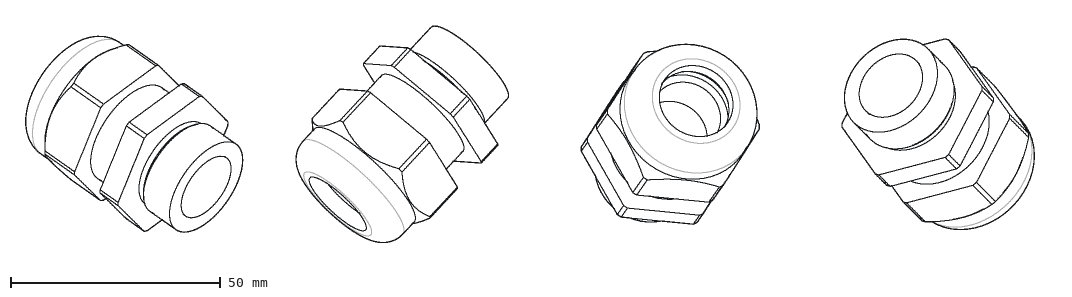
import cadquery as cq
import math

total_length = 47.5

hex_across_flats = 33.0
hex_across_corners = 37.5

dome_diameter = 32.6
dome_radius = 5.45
cap_hex_start = 9.55
cap_end = 21.95
cap_bore_diameter = 18.2
cap_bore_depth = 3.9

sleeve_start = 6.95
sleeve_diameter = 22.4
collar_diameter = 26.55
body_hex_start = 30.5
body_hex_end = 36.5
neck_diameter = 23.3
thread_start = 38.05
thread_diameter = 25.0
thread_chamfer = 0.75

seal_start = 9.35
seal_end = cap_end
seal_diameter = 20.7
clear_bore_diameter = 17.0


def cylinder(diameter, start, end):
    """Solid round bar along X between two stations."""
    return cq.Workplane("YZ", origin=(start, 0, 0)).circle(diameter / 2).extrude(end - start)


def cone(start_diameter, end_diameter, start, end):
    """Solid truncated cone along X between two stations."""
    outline = [(start, 0), (start, start_diameter / 2), (end, end_diameter / 2), (end, 0)]
    return cq.Workplane("XY").polyline(outline).close().revolve(360, (0, 0, 0), (1, 0, 0))


def hexagon(start, end):
    """Hexagonal prism along X, flats facing +Z and -Z, with narrow flats on its corners."""
    sharp_corners = hex_across_flats / math.cos(math.pi / 6)
    plane = cq.Workplane("YZ", origin=(start, 0, 0))
    prism = plane.polygon(6, sharp_corners).extrude(end - start)
    trim_corners = hex_across_corners / math.cos(math.pi / 6)
    trim = plane.polygon(6, trim_corners).extrude(end - start).rotate((0, 0, 0), (1, 0, 0), 30)
    return prism.intersect(trim)


def make_cap_nut():
    dome = cylinder(dome_diameter, 0, cap_hex_start).faces("<X").edges().fillet(dome_radius)
    cap_hex_length = cap_end - cap_hex_start
    bevel = cone(dome_diameter, dome_diameter + 2 * cap_hex_length, cap_hex_start, cap_end)
    nut = dome.union(hexagon(cap_hex_start, cap_end).intersect(bevel))
    nut = nut.cut(cylinder(cap_bore_diameter, 0, cap_bore_depth))
    nut = nut.cut(cone(cap_bore_diameter, sleeve_diameter, cap_bore_depth, sleeve_start))
    return nut.cut(cylinder(sleeve_diameter, sleeve_start, cap_end))


def make_gland_body():
    thread = cylinder(thread_diameter, thread_start, total_length)
    thread = thread.faces("<X").edges().chamfer(thread_chamfer)
    body = (
        cylinder(sleeve_diameter, sleeve_start, cap_end)
        .union(cylinder(collar_diameter, cap_end, body_hex_start))
        .union(hexagon(body_hex_start, body_hex_end))
        .union(cylinder(neck_diameter, body_hex_end, thread_start))
        .union(thread)
    )
    body = body.cut(cylinder(seal_diameter, sleeve_start, seal_end))
    return body.cut(cylinder(clear_bore_diameter, seal_end, total_length))


def make_seal():
    ring = cylinder(seal_diameter, seal_start, seal_end)
    return ring.cut(cylinder(clear_bore_diameter, seal_start, seal_end))


cap_nut = make_cap_nut()
gland_body = make_gland_body()
seal = make_seal()

result = cq.Compound.makeCompound([cap_nut.val(), gland_body.val(), seal.val()])